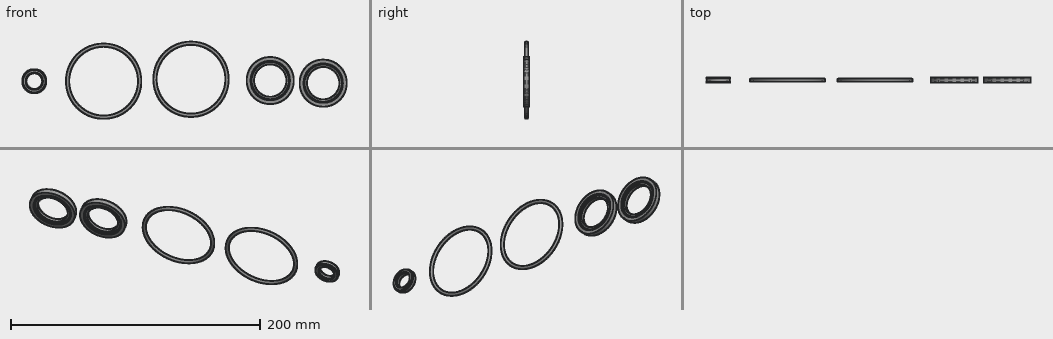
import cadquery as cq
import math

ring_thickness = 4.5

x_ring_diameter = 19.5
x_ring_bore = 12.5
x_ring_lobe_radius = 0.8
x_ring_hollow_depth = 0.5
x_ring_centre = (-130.2 + x_ring_diameter / 2, -0.8)

o_ring_diameter = 60.7
o_ring_section = 2.9
o_ring_centres = [(-64.9, -0.8), (5.2, 0.8)]

seal_diameter = 38.0
seal_rim_bore = 31.8
seal_lip_diameter = 29.7
seal_bore = 25.8
seal_web_thickness = 2.0
seal_lip_thickness = 3.5
seal_lip_edge_thickness = 3.0
seal_centres = [(68.8, -0.3), (130.2 - seal_diameter / 2, -2.3)]


def revolve_about_y(profile):
    """Turn a radius-versus-Y profile into a ring about the Y axis."""
    return profile.revolve(360, (0, 0, 0), (0, 1, 0))


def place(ring, centre):
    """Move a ring to its (x, z) centre."""
    x, z = centre
    return ring.translate((x, 0, z))


def make_x_ring():
    """Ring whose section has four rounded lobes with a hollow between each pair."""
    inner = x_ring_bore / 2
    outer = x_ring_diameter / 2
    middle = (inner + outer) / 2
    half = ring_thickness / 2
    lobe = x_ring_lobe_radius
    hollow = x_ring_hollow_depth
    corner_inset = lobe * (1 - math.sqrt(0.5))

    profile = (
        cq.Workplane("XY")
        .moveTo(inner, -half + lobe)
        .threePointArc((inner + corner_inset, -half + corner_inset), (inner + lobe, -half))
        .threePointArc((middle, -half + hollow), (outer - lobe, -half))
        .threePointArc((outer - corner_inset, -half + corner_inset), (outer, -half + lobe))
        .threePointArc((outer - hollow, 0), (outer, half - lobe))
        .threePointArc((outer - corner_inset, half - corner_inset), (outer - lobe, half))
        .threePointArc((middle, half - hollow), (inner + lobe, half))
        .threePointArc((inner + corner_inset, half - corner_inset), (inner, half - lobe))
        .threePointArc((inner + hollow, 0), (inner, -half + lobe))
        .close()
    )
    return revolve_about_y(profile)


def make_o_ring():
    """Ring of circular section."""
    section_radius = o_ring_section / 2
    centre_radius = o_ring_diameter / 2 - section_radius
    torus = cq.Solid.makeTorus(centre_radius, section_radius, cq.Vector(0, 0, 0), cq.Vector(0, 1, 0))
    return cq.Workplane(torus)


def make_seal():
    """Full-thickness rim with a recessed web and a lip that tapers to the bore."""
    half_rim = ring_thickness / 2
    half_lip = seal_lip_thickness / 2
    half_lip_edge = seal_lip_edge_thickness / 2
    half_web = seal_web_thickness / 2
    front_half = [
        (seal_bore / 2, -half_lip_edge),
        (seal_lip_diameter / 2, -half_lip),
        (seal_lip_diameter / 2, -half_web),
        (seal_rim_bore / 2, -half_web),
        (seal_rim_bore / 2, -half_rim),
        (seal_diameter / 2, -half_rim),
    ]
    back_half = [(radius, -y) for radius, y in reversed(front_half)]
    return revolve_about_y(cq.Workplane("XY").polyline(front_half + back_half).close())


x_ring = place(make_x_ring(), x_ring_centre)
o_rings = [place(make_o_ring(), centre) for centre in o_ring_centres]
seals = [place(make_seal(), centre) for centre in seal_centres]

result = cq.Compound.makeCompound([
    x_ring.val(),
    *[o_ring.val() for o_ring in o_rings],
    *[seal.val() for seal in seals],
])